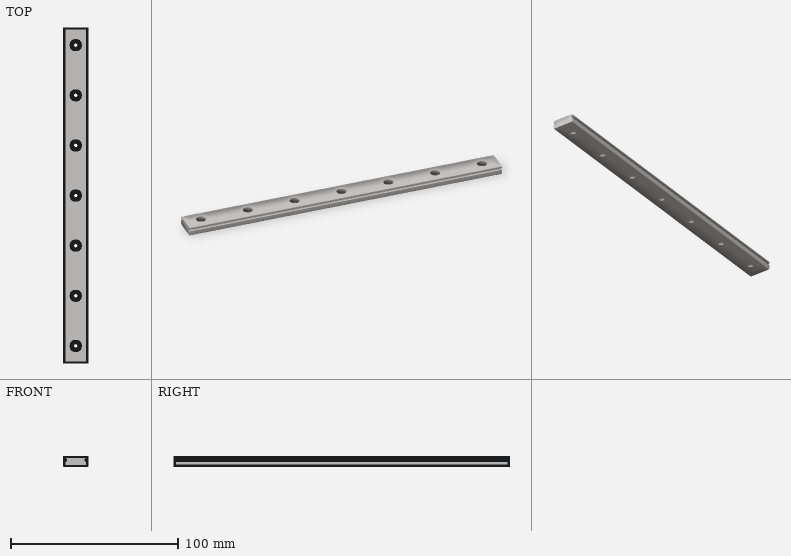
import cadquery as cq

rail_width = 14.0
rail_length = 200.0
rail_height = 5.5
top_edge_radius = 0.45
bottom_chamfer = 0.3

groove_height = 3.65
groove_radius = 0.7
relief_width = 0.4
relief_depth = 1.0

hole_count = 7
hole_pitch = 30.0
hole_diameter = 3.5
counterbore_diameter = 6.0
counterbore_depth = 3.2


def make_rail():
    """Rectangular bar lying along Y, its long top edges rounded and bottom edges chamfered."""
    bar = cq.Workplane("XY").box(
        rail_width, rail_length, rail_height, centered=(True, True, False)
    )
    bar = bar.faces(">Z").edges("|Y").fillet(top_edge_radius)
    return bar.faces("<Z").edges("|Y").chamfer(bottom_chamfer)


def make_groove_cutter(side):
    """Groove cutter for one long side; side is -1 for -X and +1 for +X."""
    groove_centre = cq.Workplane("XZ").center(side * rail_width / 2, groove_height)
    ball_track = groove_centre.circle(groove_radius).extrude(rail_length / 2, both=True)
    relief = groove_centre.rect(2 * relief_depth, relief_width).extrude(rail_length / 2, both=True)
    return ball_track.union(relief)


def cut_mounting_holes(rail):
    """Row of counterbored through holes, centred on the rail length."""
    return (
        rail.faces(">Z")
        .workplane(origin=(0, 0, rail_height))
        .rarray(1, hole_pitch, 1, hole_count)
        .cboreHole(hole_diameter, counterbore_diameter, counterbore_depth)
    )


rail = make_rail()
for side in (-1, 1):
    rail = rail.cut(make_groove_cutter(side))

result = cut_mounting_holes(rail)